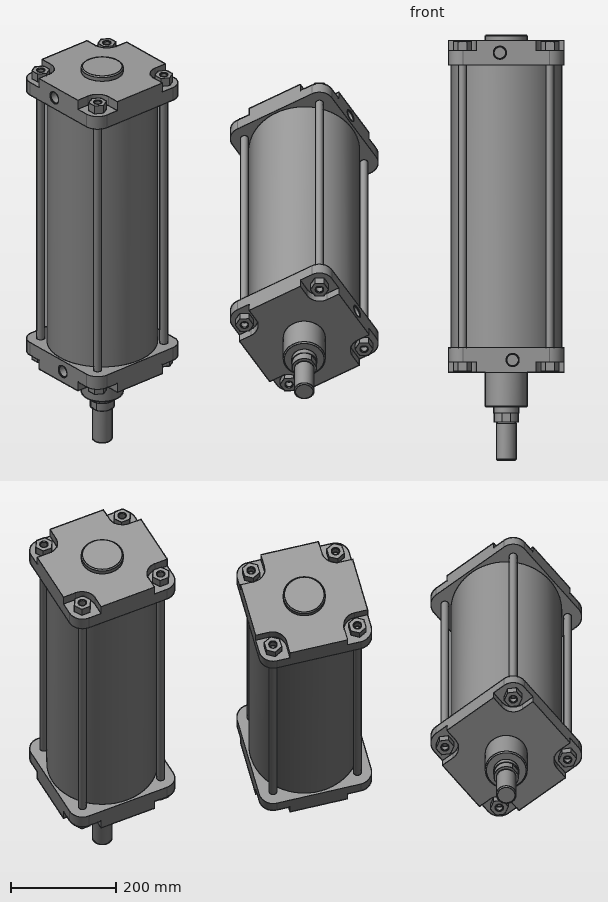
import cadquery as cq

TOTAL_LENGTH = 809.0
BOSS_BOTTOM = 101.0
FRONT_CAP_BOTTOM = 167.5
CAP_HEIGHT = 47.0
END_BOSS_HEIGHT = 10.5
REAR_CAP_TOP = TOTAL_LENGTH - END_BOSS_HEIGHT
REAR_CAP_BOTTOM = REAR_CAP_TOP - CAP_HEIGHT
FRONT_CAP_TOP = FRONT_CAP_BOTTOM + CAP_HEIGHT

CAP_SIDE = 220.0
CAP_CORNER_RADIUS = 27.5
NUT_POCKET_SIDE = 53.0
NUT_POCKET_RADIUS = 27.5
NUT_POCKET_DEPTH = 19.5
BOSS_DIAMETER = 80.0
BOSS_CHAMFER = 2.5
PORT_DIAMETER = 22.0
PORT_CHAMFER = 2.0
PORT_OFFSET = 12.0
PORT_DEPTH = 24.0

BARREL_DIAMETER = 211.0

TIE_ROD_SPACING = 166.0
TIE_ROD_DIAMETER = 15.0
NUT_ACROSS_FLATS = 30.0
NUT_HEIGHT = 17.0
NUT_TURN = 30.0
END_HOLE_DIAMETER = 13.0
END_HOLE_DEPTH = NUT_HEIGHT
END_HOLE_CHAMFER = 2.0

COLLAR_DIAMETER = 48.0
COLLAR_BOTTOM = 73.0
WRENCH_TOP = 90.0
WRENCH_DIAMETER = 46.0
WRENCH_ACROSS_FLATS = 43.0
THREAD_DIAMETER = 38.0
THREAD_CHAMFER = 2.5

HALF_SPACING = TIE_ROD_SPACING / 2
TIE_ROD_POSITIONS = [(x, y) for x in (-HALF_SPACING, HALF_SPACING) for y in (-HALF_SPACING, HALF_SPACING)]


def cylinder(diameter, bottom, top):
    """Cylinder on the Z axis between two heights."""
    return cq.Workplane("XY", origin=(0, 0, bottom)).circle(diameter / 2).extrude(top - bottom)


def chamfered_hole(diameter, depth, chamfer):
    """Cutter for a blind hole that opens upwards at Z = 0 with a 45 degree chamfer."""
    radius = diameter / 2
    return (
        cq.Workplane("XZ")
        .moveTo(0, 0)
        .lineTo(radius + chamfer, 0)
        .lineTo(radius, -chamfer)
        .lineTo(radius, -depth)
        .lineTo(0, -depth)
        .close()
        .revolve()
    )


def nut_pockets():
    """Cutters for the four corner pockets, from the outer cap face (Z = 0) upwards."""
    cutter_side = 2 * NUT_POCKET_SIDE
    return (
        cq.Workplane("XY")
        .rect(CAP_SIDE, CAP_SIDE, forConstruction=True)
        .vertices()
        .rect(cutter_side, cutter_side)
        .extrude(NUT_POCKET_DEPTH)
        .edges("|Z")
        .fillet(NUT_POCKET_RADIUS)
    )


def make_cap(boss_height, port_x):
    """End cap with its outer face at Z = 0, its body above it and its boss below it."""
    cap = (
        cq.Workplane("XY")
        .rect(CAP_SIDE, CAP_SIDE)
        .extrude(CAP_HEIGHT)
        .edges("|Z")
        .fillet(CAP_CORNER_RADIUS)
        .cut(nut_pockets())
    )
    boss = cylinder(BOSS_DIAMETER, -boss_height, 0).faces("<Z").chamfer(BOSS_CHAMFER)
    tie_rod_holes = (
        cq.Workplane("XY").pushPoints(TIE_ROD_POSITIONS).circle(TIE_ROD_DIAMETER / 2).extrude(CAP_HEIGHT)
    )
    port = chamfered_hole(PORT_DIAMETER, PORT_DEPTH, PORT_CHAMFER)
    port = port.rotate((0, 0, 0), (1, 0, 0), 90).translate((port_x, -CAP_SIDE / 2, CAP_HEIGHT / 2))
    return cap.union(boss).cut(tie_rod_holes).cut(port)


def make_front_cap():
    """Lower cap, whose long boss carries the piston rod."""
    return make_cap(FRONT_CAP_BOTTOM - BOSS_BOTTOM, PORT_OFFSET).translate((0, 0, FRONT_CAP_BOTTOM))


def make_rear_cap():
    """Upper cap: the same shape mirrored top to bottom, with a short boss."""
    return make_cap(END_BOSS_HEIGHT, -PORT_OFFSET).mirror("XY").translate((0, 0, REAR_CAP_TOP))


def make_barrel():
    """Round barrel clamped between the two caps."""
    return cylinder(BARREL_DIAMETER, FRONT_CAP_TOP, REAR_CAP_BOTTOM)


def make_tie_rod(x, y):
    """Tie rod with a nut seated in a pocket of each cap and a chamfered hole in each end."""
    front_seat = FRONT_CAP_BOTTOM + NUT_POCKET_DEPTH
    rear_seat = REAR_CAP_TOP - NUT_POCKET_DEPTH
    rod = cylinder(TIE_ROD_DIAMETER, front_seat, rear_seat)
    nut = (
        cq.Workplane("XY")
        .transformed(rotate=(0, 0, NUT_TURN))
        .polygon(6, NUT_ACROSS_FLATS, circumscribed=True)
        .extrude(NUT_HEIGHT)
    )
    end_hole = chamfered_hole(END_HOLE_DIAMETER, END_HOLE_DEPTH, END_HOLE_CHAMFER)
    nut = nut.cut(end_hole.translate((0, 0, NUT_HEIGHT)))
    rear_nut = nut.translate((0, 0, rear_seat))
    front_nut = nut.mirror("XY").translate((0, 0, front_seat))
    return rod.union(rear_nut).union(front_nut).translate((x, y, 0))


def make_piston_rod():
    """Rod end: round collar, a slightly smaller section with two wrench flats, and a threaded end."""
    collar = cylinder(COLLAR_DIAMETER, WRENCH_TOP, BOSS_BOTTOM)
    flats = cq.Workplane("XY").box(WRENCH_DIAMETER, WRENCH_ACROSS_FLATS, 2 * TOTAL_LENGTH)
    wrench_section = cylinder(WRENCH_DIAMETER, COLLAR_BOTTOM, WRENCH_TOP).intersect(flats)
    thread = cylinder(THREAD_DIAMETER, 0, COLLAR_BOTTOM).faces("<Z or >Z").chamfer(THREAD_CHAMFER)
    return collar.union(wrench_section).union(thread)


front_cap = make_front_cap()
rear_cap = make_rear_cap()
barrel = make_barrel()
piston_rod = make_piston_rod()
tie_rods = [make_tie_rod(x, y) for x, y in TIE_ROD_POSITIONS]

result = cq.Compound.makeCompound(
    [front_cap.val(), rear_cap.val(), barrel.val(), piston_rod.val(), *[rod.val() for rod in tie_rods]]
)